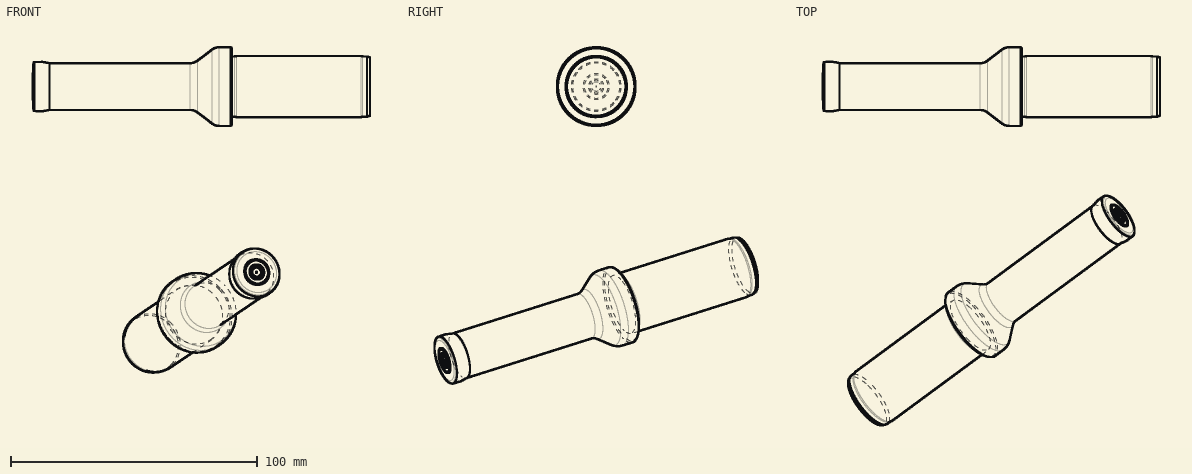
import cadquery as cq
import math

TOTAL_LENGTH = 137.0

HEAD_LENGTH = 7.0
HEAD_FACE_X = 0.3
HEAD_FACE_RADIUS = 8.5
HEAD_BEVEL_X = 0.4
HEAD_BEVEL_RADIUS = 9.5
HEAD_RIM_X = 0.8
HEAD_RIM_RADIUS = 10.0
HEAD_CORNER_RADIUS = 0.7
HEAD_CROWN_X = 2.3
HEAD_CROWN_RADIUS = 10.1

BOSS_RADIUS = 5.3
BOSS_TOP_RADIUS = 4.8
BOSS_STEP_X = HEAD_FACE_X / 2
RECESS_RADII = (3.2, 2.6, 1.9)
RECESS_STEP_DEPTH = 0.1
CENTER_HOLE_RADIUS = 0.2
CENTER_HOLE_DEPTH = 0.4

NECK_RADIUS = 19.0 / 2
FLANGE_RADIUS = 32.0 / 2
CONE_START_X = 65.6
CONE_END_X = 74.1
CONE_BLEND_RADIUS = 5.0
FLANGE_END_X = 81.0
FLANGE_CHAMFER = 0.5

SHANK_RADIUS = 25.0 / 2
RELIEF_RADIUS = 24.5 / 2
RELIEF_LENGTH = 1.1
RELIEF_TAPER_LENGTH = 0.8
SHANK_END_X = 133.3
REAR_TAPER_LENGTH = 0.7
REAR_CHAMFER_LENGTH = 1.2
REAR_CHAMFER_HEIGHT = 0.4


def turn(profile):
    """Revolve a closed (x, radius) profile about the X axis."""
    return profile.close().revolve(360, (0, 0, 0), (1, 0, 0))


def make_head():
    """Barrel-shaped cutting head with a rounded rim and a stepped boss in front."""
    profile = (
        cq.Workplane("XY")
        .moveTo(HEAD_LENGTH, 0)
        .lineTo(HEAD_LENGTH, NECK_RADIUS)
        .threePointArc((HEAD_CROWN_X, HEAD_CROWN_RADIUS), (HEAD_RIM_X, HEAD_RIM_RADIUS))
        .radiusArc((HEAD_BEVEL_X, HEAD_BEVEL_RADIUS), -HEAD_CORNER_RADIUS)
        .lineTo(HEAD_FACE_X, HEAD_FACE_RADIUS)
        .lineTo(HEAD_FACE_X, BOSS_RADIUS)
        .lineTo(BOSS_STEP_X, BOSS_RADIUS)
        .lineTo(BOSS_STEP_X, BOSS_TOP_RADIUS)
        .lineTo(0, BOSS_TOP_RADIUS)
    )
    floor_x = 0
    for radius in RECESS_RADII:
        profile = profile.lineTo(floor_x, radius)
        floor_x += RECESS_STEP_DEPTH
        profile = profile.lineTo(floor_x, radius)
    hole_bottom_x = floor_x + CENTER_HOLE_DEPTH
    profile = (
        profile.lineTo(floor_x, CENTER_HOLE_RADIUS)
        .lineTo(hole_bottom_x, CENTER_HOLE_RADIUS)
        .lineTo(hole_bottom_x, 0)
    )
    return turn(profile)


def make_shank():
    """Neck, blended cone, flange and clamping shank in one turned body."""
    cone_angle = math.atan2(FLANGE_RADIUS - NECK_RADIUS, CONE_END_X - CONE_START_X)
    tangent_length = CONE_BLEND_RADIUS * math.tan(cone_angle / 2)
    along_cone = tangent_length * math.cos(cone_angle)
    up_cone = tangent_length * math.sin(cone_angle)
    relief_end_x = FLANGE_END_X + RELIEF_LENGTH

    profile = (
        cq.Workplane("XY")
        .moveTo(HEAD_LENGTH, 0)
        .lineTo(HEAD_LENGTH, NECK_RADIUS)
        .lineTo(CONE_START_X - tangent_length, NECK_RADIUS)
        .radiusArc((CONE_START_X + along_cone, NECK_RADIUS + up_cone), -CONE_BLEND_RADIUS)
        .lineTo(CONE_END_X - along_cone, FLANGE_RADIUS - up_cone)
        .radiusArc((CONE_END_X + tangent_length, FLANGE_RADIUS), CONE_BLEND_RADIUS)
        .lineTo(FLANGE_END_X - FLANGE_CHAMFER, FLANGE_RADIUS)
        .lineTo(FLANGE_END_X, FLANGE_RADIUS - FLANGE_CHAMFER)
        .lineTo(FLANGE_END_X, RELIEF_RADIUS)
        .lineTo(relief_end_x, RELIEF_RADIUS)
        .lineTo(relief_end_x + RELIEF_TAPER_LENGTH, SHANK_RADIUS)
        .lineTo(SHANK_END_X, SHANK_RADIUS)
        .lineTo(SHANK_END_X + REAR_TAPER_LENGTH, RELIEF_RADIUS)
        .lineTo(TOTAL_LENGTH - REAR_CHAMFER_LENGTH, RELIEF_RADIUS)
        .lineTo(TOTAL_LENGTH, RELIEF_RADIUS - REAR_CHAMFER_HEIGHT)
        .lineTo(TOTAL_LENGTH, 0)
    )
    return turn(profile)


head = make_head()
shank = make_shank()

result = cq.Compound.makeCompound([head.val(), shank.val()])